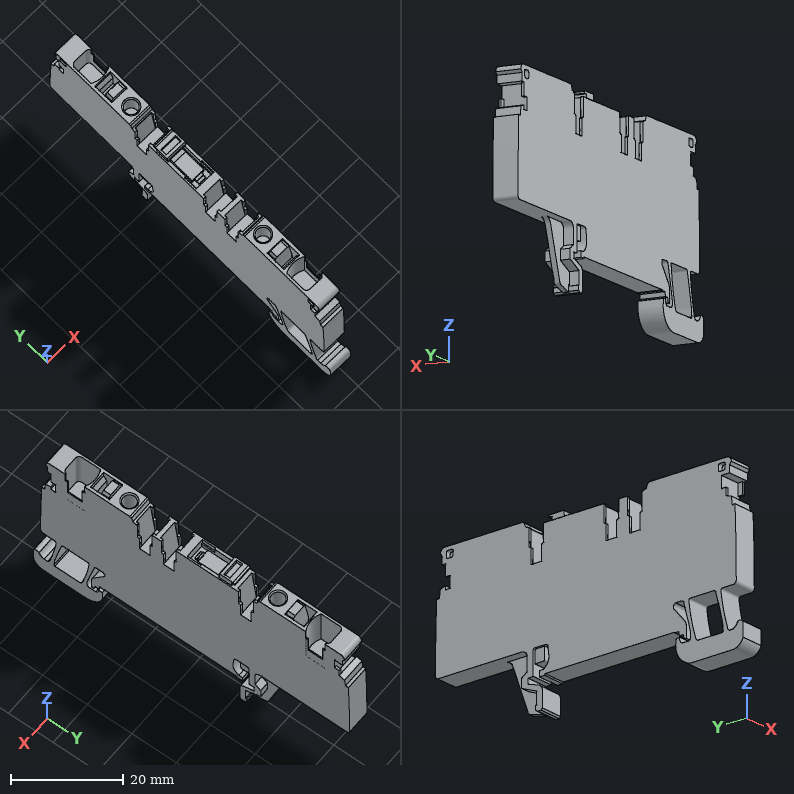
import cadquery as cq


WIDTH = 5.1
HALF_WIDTH = WIDTH / 2
HALF_LENGTH = 34.7
HOUSING_BOTTOM = 12.55
HOUSING_TOP = 37.6
BRIDGE_TOP = 36.2
LEVER_TOP = 38.1
BOTTOM_RADIUS = 0.7

SLOT_CENTERS = (11.4, -5.9, -11.3)
SLOT_FLOOR = 28.9
SLOT_STEP_BOTTOM = 32.15
SLOT_STEP_TOP = 32.45
SLOT_CORE_TOP = BRIDGE_TOP + 0.2
SLOT_FLOOR_HALF = 2.35 / 2
SLOT_SKIN_HALF = 3.35 / 2
SLOT_CORE_HALF = 4.5 / 2
SKIN = 0.53

END_WALL = 32.4
LATCH_WALL = 31.3
LATCH_TOP = 34.35
LATCH_MIDDLE = 31.8
LATCH_BOTTOM = 29.3
LATCH_TAB = 0.5
PEG_HOLE_Y = 31.4
PEG_HOLE_Z = 36.0
PEG_HOLE_SIZE = 1.55
PEG_HOLE_RADIUS = 0.4
PEG_HOLE_DEPTH = 1.1

FUNNEL_INNER = 24.8
FUNNEL_BULGE = 0.6
FUNNEL_OUTER = 29.75
FUNNEL_WALL = 0.5
FUNNEL_THIN_WALL = 0.2
FUNNEL_RADIUS = 0.85
FUNNEL_DEPTH = 8.5
FUNNEL_WINDOW_DEPTH = 5.7
FUNNEL_WINDOW_STEP = 0.6
FUNNEL_MOUTH_DEPTH = 2.1

POCKET_INNER = 19.65
POCKET_OUTER = 23.9
POCKET_WALL_LEAN = 0.7
POCKET_LEAN_TOP = 1.1
POCKET_LEAN_BOTTOM = 2.1
POCKET_HALF_WIDTH = 1.9
POCKET_DEPTH = 5.7
LEVER_INNER = 19.9
LEVER_OUTER = 21.5
LEVER_TOE = 22.15
LEVER_TOE_DROP = 3.2
LEVER_HALF_WIDTH = 1.8
LEVER_CHAMFER = 0.5
LEVER_PLUG_HEIGHT = 0.7

TEST_HOLE_Y = 16.7
TEST_HOLE_RADIUS = 1.4
TEST_HOLE_RIM = 0.3
TEST_HOLE_RIM_ANGLE = 45
TEST_HOLE_DEPTH = 5.7

SLIDE_POCKET_ENDS = (5.25, -2.0)
SLIDE_POCKET_HALF_WIDTH = 1.9
SLIDE_POCKET_DEPTH = 2.0
SLIDE_WIDE_END = 1.0
SLIDE_WIDE_HALF_WIDTH = 2.2
SLIDE_WIDE_DEPTH = 1.1
SLIDE_FLOOR_ENDS = (4.4, -0.2)
SLIDE_FLOOR_HALF_WIDTH = 1.5
SLIDE_FLOOR_DEPTH = 0.9
SLIDE_RAMP_RISE = 0.3
STAIR_HALF_WIDTH = 0.85
STAIR_TREAD = 0.6
STAIR_DROP = 0.35
STAIR_COUNT = 2
HANDLE_HALF_WIDTH = 2.3
HANDLE_TOP = 37.55
HANDLE_LIP = 37.05
HANDLE_OUTER = 8.7
HANDLE_NECK = 8.0
HANDLE_INNER = 5.1
HANDLE_BEVEL = 0.4
HANDLE_BEVEL_DROP = 0.15
HANDLE_LEAN = 0.2
HANDLE_SLOT_ENDS = (7.3, 5.95)
HANDLE_SLOT_HALF_WIDTH = 1.85
HANDLE_SLOT_DEPTH = 0.85

SEAT_BOTTOM = 6.95
ROOT_TOP = HOUSING_BOTTOM + 0.7
RELEASE_WEB_THICKNESS = 1.15
GUSSET_THICKNESS = 4.1
GUSSET_RADIUS = 0.35


def prism(outline, x_min=-HALF_WIDTH, x_max=HALF_WIDTH):
    """Extrude a closed (Y, Z) outline between two X positions."""
    return cq.Workplane("YZ", origin=(x_min, 0, 0)).polyline(outline).close().extrude(x_max - x_min)


def start(y, z, x_min=-HALF_WIDTH):
    """Begin a (Y, Z) outline that includes arcs."""
    return cq.Workplane("YZ", origin=(x_min, 0, 0)).moveTo(y, z)


def block(x_range, y_range, z_range):
    """Box between pairs of limits."""
    lows = [min(limits) for limits in (x_range, y_range, z_range)]
    sizes = [abs(limits[1] - limits[0]) for limits in (x_range, y_range, z_range)]
    return cq.Workplane("XY").box(*sizes, centered=False).translate(tuple(lows))


def centred_block(half_width, y_range, z_range):
    return block((-half_width, half_width), y_range, z_range)


def both_ends(solid):
    """The solid together with its mirror image at the other end."""
    return solid.union(solid.mirror("XZ"))


def make_housing():
    half = (
        start(0, HOUSING_BOTTOM)
        .lineTo(HALF_LENGTH, HOUSING_BOTTOM)
        .threePointArc((34.65, 20.3), (34.4, 28.05))
        .lineTo(33.8, 28.05)
        .lineTo(33.6, 29.75)
        .lineTo(32.7, 30.0)
        .lineTo(END_WALL, 30.2)
        .lineTo(END_WALL, LATCH_TOP)
        .lineTo(33.15, LATCH_TOP)
        .lineTo(33.15, 35.9)
        .lineTo(33.6, 36.5)
        .threePointArc((33.3, 37.25), (32.65, HOUSING_TOP))
        .lineTo(14.6, HOUSING_TOP)
        .lineTo(14.3, 37.5)
        .lineTo(13.9, 36.55)
        .lineTo(13.1, BRIDGE_TOP)
        .lineTo(0, BRIDGE_TOP)
        .close()
        .extrude(WIDTH)
        .edges("|X and >Y and <Z")
        .fillet(BOTTOM_RADIUS)
    )
    return both_ends(half)


def marker_slot(center):
    """Slot with tapered walls in the core and stepped walls in the two side skins."""
    half_outline = [
        (SLOT_FLOOR_HALF, SLOT_FLOOR),
        (SLOT_FLOOR_HALF, SLOT_STEP_BOTTOM),
        (SLOT_SKIN_HALF, SLOT_STEP_TOP),
        (SLOT_SKIN_HALF, HOUSING_TOP),
    ]
    right = [(center + y, z) for y, z in half_outline]
    left = [(center - y, z) for y, z in reversed(half_outline)]
    skin_cut = prism(right + left)
    core_cut = prism(
        [
            (center - SLOT_FLOOR_HALF, SLOT_FLOOR),
            (center + SLOT_FLOOR_HALF, SLOT_FLOOR),
            (center + SLOT_CORE_HALF, SLOT_CORE_TOP),
            (center - SLOT_CORE_HALF, SLOT_CORE_TOP),
        ],
        -HALF_WIDTH + SKIN,
        HALF_WIDTH - SKIN,
    )
    return skin_cut.union(core_cut)


def latch_recess():
    """Recess in the -Y end wall; a tab stays at +X above and at -X below."""
    depth = (-END_WALL, -LATCH_WALL)
    upper = block((-HALF_WIDTH, HALF_WIDTH - LATCH_TAB), depth, (LATCH_MIDDLE, LATCH_TOP))
    lower = block((-HALF_WIDTH + LATCH_TAB, HALF_WIDTH), depth, (LATCH_BOTTOM, LATCH_MIDDLE))
    return upper.union(lower)


def peg_hole():
    return (
        cq.Workplane("YZ", origin=(-HALF_WIDTH, PEG_HOLE_Y, PEG_HOLE_Z))
        .rect(PEG_HOLE_SIZE, PEG_HOLE_SIZE)
        .extrude(PEG_HOLE_DEPTH)
        .edges("|X")
        .fillet(PEG_HOLE_RADIUS)
    )


def wire_funnel():
    """Rounded pocket with a bowed inner wall, open through the +X side near the top."""
    x_min = -HALF_WIDTH + FUNNEL_WALL
    x_max = HALF_WIDTH - FUNNEL_THIN_WALL
    bow_middle = ((x_min + x_max) / 2, FUNNEL_INNER - FUNNEL_BULGE)
    pocket = (
        cq.Workplane("XY", origin=(0, 0, HOUSING_TOP - FUNNEL_DEPTH))
        .moveTo(x_min, FUNNEL_INNER)
        .lineTo(x_min, FUNNEL_OUTER)
        .lineTo(x_max, FUNNEL_OUTER)
        .lineTo(x_max, FUNNEL_INNER)
        .threePointArc(bow_middle, (x_min, FUNNEL_INNER))
        .close()
        .extrude(FUNNEL_DEPTH)
        .edges("|Z and >Y")
        .fillet(FUNNEL_RADIUS)
    )
    inner = FUNNEL_INNER
    outer = FUNNEL_OUTER - FUNNEL_WINDOW_STEP
    mouth = block((0, HALF_WIDTH), (inner, outer), (HOUSING_TOP - FUNNEL_MOUTH_DEPTH, HOUSING_TOP))
    window = block(
        (0, HALF_WIDTH),
        (inner + FUNNEL_WINDOW_STEP, outer - FUNNEL_WINDOW_STEP),
        (HOUSING_TOP - FUNNEL_WINDOW_DEPTH, HOUSING_TOP),
    )
    return pocket.union(mouth).union(window)


def clamp_pocket():
    """Pocket with a leaning band in its outer wall."""
    floor = HOUSING_TOP - POCKET_DEPTH
    wall = POCKET_OUTER - POCKET_WALL_LEAN
    outline = [
        (POCKET_INNER, floor),
        (wall, floor),
        (wall, HOUSING_TOP - POCKET_LEAN_BOTTOM),
        (POCKET_OUTER, HOUSING_TOP - POCKET_LEAN_TOP),
        (POCKET_OUTER, HOUSING_TOP),
        (POCKET_INNER, HOUSING_TOP),
    ]
    return prism(outline, -POCKET_HALF_WIDTH, POCKET_HALF_WIDTH)


def clamp_lever():
    """Push block standing proud of the housing, with a ramp falling towards the funnel."""
    floor = HOUSING_TOP - POCKET_DEPTH
    half = LEVER_HALF_WIDTH
    head = (
        centred_block(half, (LEVER_INNER, LEVER_OUTER), (floor, LEVER_TOP))
        .edges("|Y and >Z")
        .chamfer(LEVER_CHAMFER)
    )
    ramp = prism(
        [
            (LEVER_OUTER, floor),
            (LEVER_TOE, floor),
            (LEVER_TOE, HOUSING_TOP - LEVER_TOE_DROP),
            (LEVER_OUTER, HOUSING_TOP - LEVER_CHAMFER),
        ],
        -half,
        half,
    )
    plug = centred_block(POCKET_HALF_WIDTH, (POCKET_INNER, LEVER_TOE), (floor, floor + LEVER_PLUG_HEIGHT))
    return head.union(ramp).union(plug)


def test_hole():
    """Blind hole with a 45 degree rim."""
    top = cq.Workplane("XY", origin=(0, TEST_HOLE_Y, HOUSING_TOP))
    hole = top.circle(TEST_HOLE_RADIUS).extrude(-TEST_HOLE_DEPTH)
    rim = top.circle(TEST_HOLE_RADIUS + TEST_HOLE_RIM).extrude(-TEST_HOLE_RIM, taper=TEST_HOLE_RIM_ANGLE)
    return hole.union(rim)


def slide_pocket():
    floor = BRIDGE_TOP - SLIDE_POCKET_DEPTH
    pocket = centred_block(SLIDE_POCKET_HALF_WIDTH, SLIDE_POCKET_ENDS, (floor, BRIDGE_TOP))
    wide_end = centred_block(
        SLIDE_WIDE_HALF_WIDTH,
        (SLIDE_WIDE_END, SLIDE_POCKET_ENDS[1]),
        (BRIDGE_TOP - SLIDE_WIDE_DEPTH, BRIDGE_TOP),
    )
    return pocket.union(wide_end)


def slide():
    """Plate in the pocket, ramping up to a handle at +Y and stepping down at -Y."""
    floor = BRIDGE_TOP - SLIDE_POCKET_DEPTH
    plate_top = BRIDGE_TOP - SLIDE_FLOOR_DEPTH
    body = prism(
        [
            (SLIDE_POCKET_ENDS[0], floor),
            (SLIDE_FLOOR_ENDS[1], floor),
            (SLIDE_FLOOR_ENDS[1], plate_top),
            (SLIDE_FLOOR_ENDS[0], plate_top),
            (SLIDE_POCKET_ENDS[0], plate_top + SLIDE_RAMP_RISE),
        ],
        -SLIDE_FLOOR_HALF_WIDTH,
        SLIDE_FLOOR_HALF_WIDTH,
    )
    for step in range(1, STAIR_COUNT + 1):
        stair_end = SLIDE_FLOOR_ENDS[1] - step * STAIR_TREAD
        stair_top = plate_top - step * STAIR_DROP
        stair = centred_block(STAIR_HALF_WIDTH, (SLIDE_FLOOR_ENDS[0], stair_end), (floor, stair_top))
        body = body.union(stair)
    return body


def slide_handle():
    handle = prism(
        [
            (HANDLE_NECK, BRIDGE_TOP),
            (HANDLE_NECK, HANDLE_LIP),
            (HANDLE_OUTER, HANDLE_LIP),
            (HANDLE_OUTER, HANDLE_TOP - HANDLE_BEVEL_DROP),
            (HANDLE_OUTER - HANDLE_BEVEL, HANDLE_TOP),
            (HANDLE_INNER + HANDLE_LEAN, HANDLE_TOP),
            (HANDLE_INNER, BRIDGE_TOP),
        ],
        -HANDLE_HALF_WIDTH,
        HANDLE_HALF_WIDTH,
    )
    grip = centred_block(
        HANDLE_SLOT_HALF_WIDTH, HANDLE_SLOT_ENDS, (HANDLE_TOP - HANDLE_SLOT_DEPTH, HANDLE_TOP)
    )
    return handle.cut(grip)


def rail_seat():
    """Block that rests on the rail, with a hook at +Y and a lip at -Y."""
    return (
        start(9.5, ROOT_TOP)
        .lineTo(9.5, HOUSING_BOTTOM)
        .threePointArc((8.95, 12.4), (8.7, 12.1))
        .lineTo(8.5, 10.3)
        .threePointArc((8.9, 8.7), (9.9, 7.9))
        .lineTo(10.7, 7.9)
        .lineTo(10.7, 6.7)
        .lineTo(9.5, 6.7)
        .lineTo(9.4, SEAT_BOTTOM)
        .lineTo(-20.4, SEAT_BOTTOM)
        .lineTo(-20.5, 6.8)
        .lineTo(-21.45, 6.8)
        .lineTo(-21.6, 5.95)
        .lineTo(-22.4, 5.95)
        .lineTo(-22.7, 5.05)
        .lineTo(-23.2, 5.05)
        .lineTo(-23.2, 7.25)
        .threePointArc((-23.15, 7.9), (-22.7, 8.65))
        .lineTo(-20.5, 11.3)
        .threePointArc((-20.2, 12.0), (-20.7, HOUSING_BOTTOM))
        .lineTo(-20.7, ROOT_TOP)
        .close()
        .extrude(WIDTH)
    )


def fixed_foot():
    """Curved foot hanging from two slanted legs."""
    outline = (
        start(-22.0, ROOT_TOP)
        .lineTo(-22.0, HOUSING_BOTTOM)
        .threePointArc((-22.4, 12.4), (-22.65, 11.9))
        .lineTo(-23.8, 7.7)
        .lineTo(-24.2, 5.8)
        .lineTo(-24.2, 5.05)
        .threePointArc((-24.05, 4.6), (-23.65, 4.4))
        .lineTo(-22.3, 4.4)
        .threePointArc((-21.8, 4.8), (-21.65, 5.7))
        .lineTo(-20.8, 5.55)
        .lineTo(-20.7, 4.0)
        .threePointArc((-21.9, 1.2), (-24.35, 0))
        .lineTo(-33.8, 0)
        .threePointArc((-35.35, 0.5), (-36.3, 1.8))
        .lineTo(-36.3, 4.7)
        .threePointArc((-35.8, 5.25), (-35.0, 5.1))
        .threePointArc((-34.5, 4.3), (-33.85, 4.0))
        .lineTo(-33.1, 4.0)
        .threePointArc((-32.8, 4.25), (-32.65, 4.7))
        .threePointArc((-31.7, 8.5), (-31.15, 12.1))
        .threePointArc((-31.3, 12.4), (-31.65, HOUSING_BOTTOM))
        .lineTo(-31.65, ROOT_TOP)
        .close()
        .extrude(WIDTH)
    )
    window = (
        start(-24.2, HOUSING_BOTTOM)
        .threePointArc((-23.85, 12.4), (-23.8, 12.1))
        .threePointArc((-24.4, 8.1), (-25.35, 4.6))
        .threePointArc((-25.55, 4.2), (-26.0, 4.0))
        .lineTo(-31.45, 4.0)
        .lineTo(-31.65, 4.25)
        .lineTo(-31.5, 5.8)
        .threePointArc((-30.7, 9.2), (-30.0, 12.0))
        .threePointArc((-29.8, 12.4), (-29.3, HOUSING_BOTTOM))
        .close()
        .extrude(WIDTH)
    )
    return outline.cut(window)


def release_foot():
    """Bent spring strip, stiffened by a thin web at +Y and a gusset at -Y."""
    strip = (
        start(14.8, ROOT_TOP)
        .lineTo(14.8, HOUSING_BOTTOM)
        .threePointArc((13.9, 12.2), (13.5, 11.35))
        .lineTo(13.5, 8.45)
        .lineTo(14.75, 7.5)
        .lineTo(14.75, 5.55)
        .lineTo(11.35, 4.1)
        .lineTo(11.35, 1.5)
        .lineTo(11.6, 1.4)
        .lineTo(11.6, 0.5)
        .lineTo(11.15, 0.15)
        .lineTo(10.3, 0.15)
        .lineTo(10.0, 0.5)
        .lineTo(10.0, 4.05)
        .threePointArc((10.3, 4.75), (11.0, 5.2))
        .lineTo(13.3, 5.95)
        .lineTo(13.3, 7.1)
        .lineTo(12.15, 7.2)
        .lineTo(12.15, 12.1)
        .threePointArc((12.0, 12.4), (11.65, HOUSING_BOTTOM))
        .lineTo(11.65, ROOT_TOP)
        .close()
        .extrude(WIDTH)
    )
    web = (
        start(19.7, ROOT_TOP, -RELEASE_WEB_THICKNESS / 2)
        .lineTo(19.7, HOUSING_BOTTOM)
        .threePointArc((19.0, 12.2), (18.5, 11.6))
        .lineTo(15.0, 1.55)
        .threePointArc((14.75, 1.2), (14.4, 1.1))
        .lineTo(11.6, 0.3)
        .lineTo(11.0, 4.25)
        .lineTo(14.2, 6.0)
        .lineTo(13.1, 8.5)
        .lineTo(13.1, ROOT_TOP)
        .close()
        .extrude(RELEASE_WEB_THICKNESS)
    )
    gusset = (
        centred_block(GUSSET_THICKNESS / 2, (9.9, 12.35), (9.7, HOUSING_BOTTOM))
        .edges("|X and <Y and <Z")
        .fillet(GUSSET_RADIUS)
    )
    return strip.union(web).union(gusset)


body = make_housing()
for slot_center in SLOT_CENTERS:
    body = body.cut(marker_slot(slot_center))

recess = latch_recess()
body = body.cut(recess).cut(recess.rotate((0, 0, 0), (0, 0, 1), 180))
for cutter in (peg_hole(), wire_funnel(), clamp_pocket(), test_hole()):
    body = body.cut(both_ends(cutter))
body = body.union(both_ends(clamp_lever()))
body = body.cut(slide_pocket()).union(slide()).union(slide_handle())

for rail_part in (rail_seat(), fixed_foot(), release_foot()):
    body = body.union(rail_part)

result = body